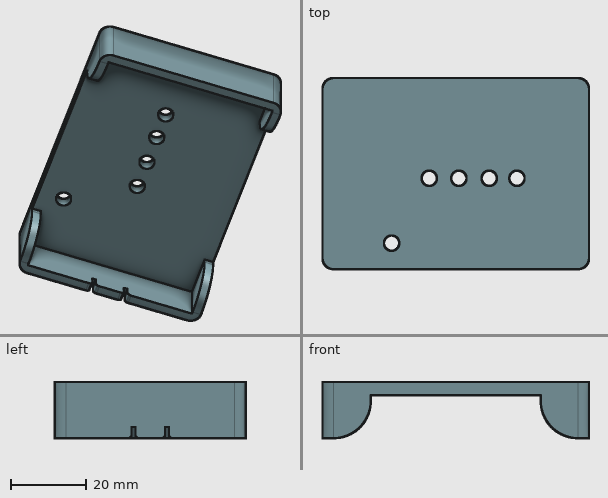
import cadquery as cq
import math

length = 70.8
width = 50.8
height = 15.0
corner_radius = 3.0
wall = 2.4
top_thickness = 3.6

leg_arc_radius = 10.0
leg_width = 12.9

hole_diameter = 4.0
row_y = -1.23
row_x = [-7.03, 0.82, 8.88, 16.24]
single_hole = (-17.02, -18.45)

notch_width = 1.0
notch_height = 3.0
notch_offset = 4.45
notch_lip_radius = 1.0

mid_arc = math.sqrt(0.5)

bottom_z = -height
cavity_top_z = -top_thickness


def rounded_shell():
    """Box with rounded upright corners, hollowed from below."""
    body = cq.Workplane("XY").box(length, width, height, centered=(True, True, False))
    body = body.translate((0, 0, bottom_z)).edges("|Z").fillet(corner_radius)
    cavity_height = height - top_thickness
    cavity = cq.Workplane("XY").box(
        length - 2 * wall, width - 2 * wall, cavity_height, centered=(True, True, False)
    )
    return body.cut(cavity.translate((0, 0, bottom_z)))


def long_wall_opening():
    """Opening along Y through both long walls, its sides flaring outward toward the bottom."""
    half_top = length / 2 - leg_width
    half_bottom = half_top + leg_arc_radius
    arc_start_z = bottom_z + leg_arc_radius
    arc_reach = leg_arc_radius * mid_arc
    mid_x = half_bottom - arc_reach
    mid_z = arc_start_z - arc_reach
    return (
        cq.Workplane("XZ")
        .moveTo(-half_top, cavity_top_z)
        .lineTo(half_top, cavity_top_z)
        .lineTo(half_top, arc_start_z)
        .threePointArc((mid_x, mid_z), (half_bottom, bottom_z))
        .lineTo(-half_bottom, bottom_z)
        .threePointArc((-mid_x, mid_z), (-half_top, arc_start_z))
        .close()
        .extrude(width / 2, both=True)
    )


def top_holes():
    """Row of four holes and one separate hole through the top."""
    centres = [(x, row_y) for x in row_x] + [single_hole]
    return cq.Workplane("XY").pushPoints(centres).circle(hole_diameter / 2).extrude(-top_thickness)


def edge_notch(centre_y):
    """Notch through the -X wall with rounded lips at its open lower end."""
    half = notch_width / 2
    lip = notch_lip_radius
    bend = lip * (1 - mid_arc)
    return (
        cq.Workplane("YZ", origin=(-length / 2, centre_y, bottom_z))
        .moveTo(-half, notch_height)
        .lineTo(half, notch_height)
        .lineTo(half, lip)
        .threePointArc((half + bend, bend), (half + lip, 0))
        .lineTo(-half - lip, 0)
        .threePointArc((-half - bend, bend), (-half, lip))
        .close()
        .extrude(wall)
    )


result = rounded_shell().cut(long_wall_opening()).cut(top_holes())
for side in (-1, 1):
    result = result.cut(edge_notch(side * notch_offset))